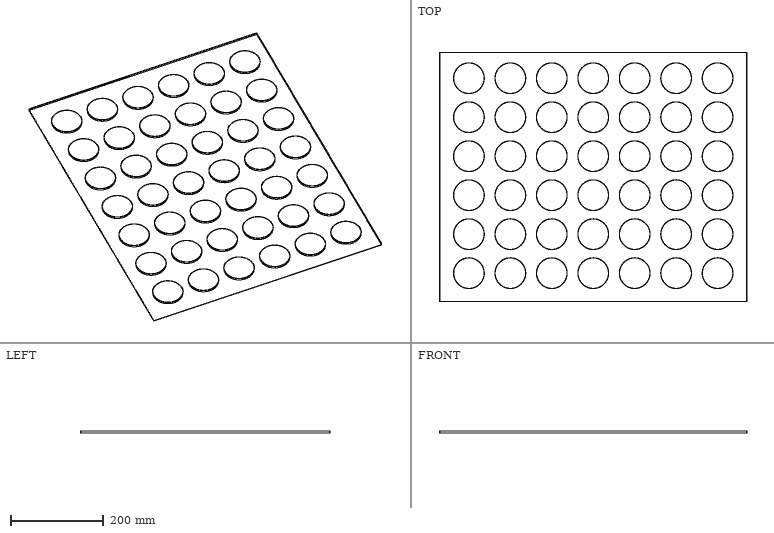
import cadquery as cq

length = 665.0
width = 540.0
thickness = 5.0

hole_diameter = 66.0
columns = 7
rows = 6
column_pitch = 90.0
row_pitch = 84.5
grid_offset_y = 2.5

plate = cq.Workplane("XY").box(length, width, thickness)

result = (
    plate.faces(">Z")
    .workplane(origin=(0, grid_offset_y, 0))
    .rarray(column_pitch, row_pitch, columns, rows)
    .hole(hole_diameter)
)